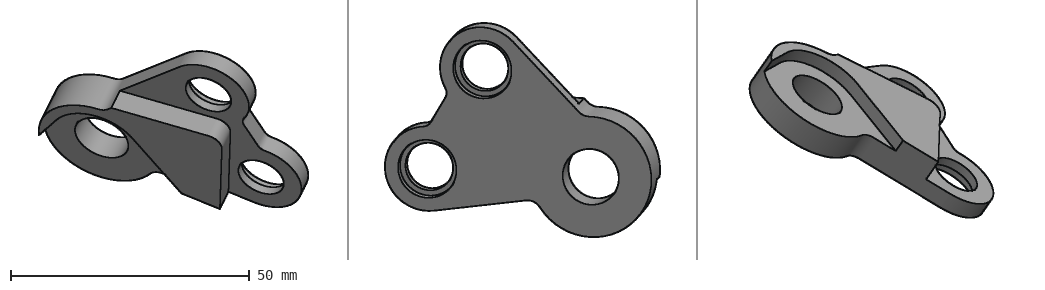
import cadquery as cq
import math

main_pivot = (0.0, 0.0)
top_pivot = (23.2, 22.0)
side_pivot = (35.0, 0.0)

full_thickness = 9.0
web_thickness = 4.0
recess_floor_thickness = 6.0

main_boss_radius = 13.0
main_hole_diameter = 12.0

small_hole_diameter = 10.2
counterbore_diameter = 12.5
counterbore_depth = 2.0
small_boss_wall = 4.0
small_boss_radius = small_hole_diameter / 2 + small_boss_wall

upper_edge_offset = 7.9
lower_edge_offset = 3.5
waist_offset_top = 3.7
waist_offset_side = 4.4
main_fillet_radius = 3.0
waist_fillet_radius = 2.0

pad_corner = (28.2, 15.0)
pad_top_tilt = 0.7
pad_side_tilt = 1.29
pad_corner_radius = 3.0

recess_radius = 10.5
recess_left_slope = 60.0
recess_right_slope = 50.5

overrun = 40.0


def polar(center, radius, angle):
    """Point at a distance and angle (degrees) from a center."""
    turn = math.radians(angle)
    return (center[0] + radius * math.cos(turn), center[1] + radius * math.sin(turn))


def tangent_edge(start, start_offset, end, end_offset):
    """Edge passing left of two pivots at the given offsets: both feet and its heading."""
    dx = end[0] - start[0]
    dz = end[1] - start[1]
    spread = math.degrees(math.acos((start_offset - end_offset) / math.hypot(dx, dz)))
    normal = math.degrees(math.atan2(dz, dx)) + spread
    return polar(start, start_offset, normal), polar(end, end_offset, normal), normal - 90


def chord_half(radius, offset):
    """Half the chord that a line at this offset cuts from a circle."""
    return math.sqrt(radius**2 - offset**2)


def disc(center, radius, thickness):
    return cq.Workplane("XZ").center(*center).circle(radius).extrude(thickness)


def outline_body():
    """Full-thickness body: three bosses joined by a web, with filleted inner corners."""
    upper_start, upper_end, upper_heading = tangent_edge(
        main_pivot, upper_edge_offset, top_pivot, small_boss_radius
    )
    waist_start, waist_end, waist_heading = tangent_edge(
        top_pivot, waist_offset_top, side_pivot, waist_offset_side
    )
    lower_start, lower_end, lower_heading = tangent_edge(
        side_pivot, small_boss_radius, main_pivot, lower_edge_offset
    )
    web_corners = [upper_start, upper_end, waist_start, waist_end, lower_start, lower_end]
    body = cq.Workplane("XZ").polyline(web_corners).close().extrude(full_thickness)
    body = body.union(disc(main_pivot, main_boss_radius, full_thickness))
    for pivot in (top_pivot, side_pivot):
        body = body.union(disc(pivot, small_boss_radius, full_thickness))

    upper_reach = chord_half(main_boss_radius, upper_edge_offset)
    lower_reach = chord_half(main_boss_radius, lower_edge_offset)
    waist_top_reach = chord_half(small_boss_radius, waist_offset_top)
    waist_side_reach = chord_half(small_boss_radius, waist_offset_side)
    inner_corners = [
        (polar(upper_start, upper_reach, upper_heading), main_fillet_radius),
        (polar(lower_end, -lower_reach, lower_heading), main_fillet_radius),
        (polar(waist_start, waist_top_reach, waist_heading), waist_fillet_radius),
        (polar(waist_end, -waist_side_reach, waist_heading), waist_fillet_radius),
    ]
    for (x, z), radius in inner_corners:
        corner_edge = cq.NearestToPointSelector((x, -full_thickness / 2, z))
        body = body.edges("|Y").edges(corner_edge).fillet(radius)
    return body


def pad_region():
    """Area that keeps the full thickness: below and left of the pad corner."""
    top_left = polar(pad_corner, -2 * overrun, pad_top_tilt)
    bottom_right = polar(pad_corner, -overrun, 90 - pad_side_tilt)
    bottom_left = (top_left[0], bottom_right[1])
    region = cq.Workplane("XZ").polyline([pad_corner, bottom_right, bottom_left, top_left])
    region = region.close().extrude(full_thickness)
    corner_edge = cq.NearestToPointSelector((pad_corner[0], -full_thickness / 2, pad_corner[1]))
    return region.edges("|Y").edges(corner_edge).fillet(pad_corner_radius)


def recess():
    """Front recess with a round top, widening downwards past the outline."""
    left_tangent = polar(main_pivot, recess_radius, 90 + recess_left_slope)
    right_tangent = polar(main_pivot, recess_radius, 90 - recess_right_slope)
    crown = polar(main_pivot, recess_radius, 90)
    return (
        cq.Workplane("XZ", origin=(0, -recess_floor_thickness, 0))
        .moveTo(*left_tangent)
        .threePointArc(crown, right_tangent)
        .lineTo(*polar(right_tangent, overrun, -recess_right_slope))
        .lineTo(*polar(left_tangent, -overrun, recess_left_slope))
        .close()
        .extrude(full_thickness - recess_floor_thickness)
    )


def stepped_hole(pivot):
    """Through hole with a counterbore in the back face."""
    through = disc(pivot, small_hole_diameter / 2, full_thickness)
    return through.union(disc(pivot, counterbore_diameter / 2, counterbore_depth))


body = outline_body()
back_slab = cq.Workplane("XZ").rect(4 * overrun, 4 * overrun).extrude(web_thickness)
result = body.intersect(pad_region().union(back_slab))
result = result.cut(recess())
result = result.cut(disc(main_pivot, main_hole_diameter / 2, full_thickness))
for pivot in (top_pivot, side_pivot):
    result = result.cut(stepped_hole(pivot))